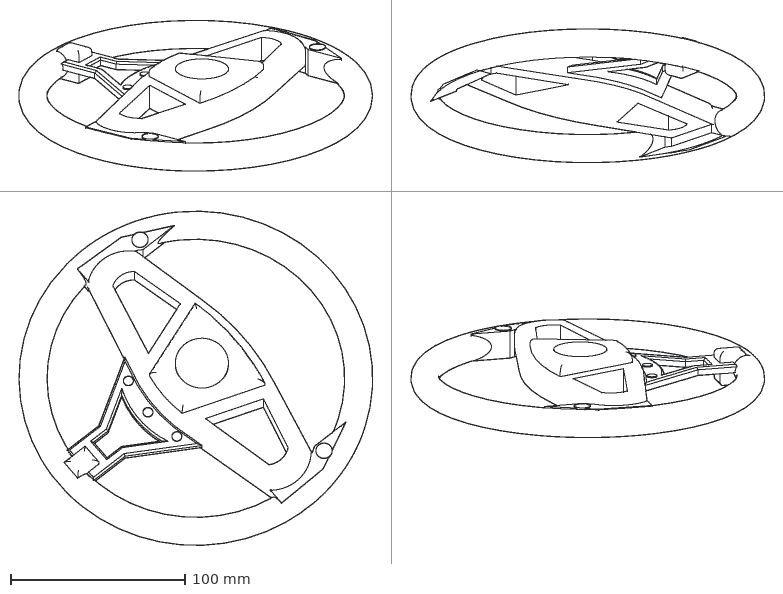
import cadquery as cq

rim_diameter = 203.0
tube_radius = 8.1
rim_centre_radius = rim_diameter / 2 - tube_radius

hub_top = 11.8
hub_thickness = 14.5
hub_bottom = hub_top - hub_thickness
hub_edge_radius = 5.9
hub_end_left = (-12.2, 83.2)
hub_end_middle = (3.5, 88.1)
hub_end_right = (21.1, 79.5)
hub_side_right = (31.5, 33.5)
hub_bow_right = 35.5
hub_side_left = (-28.6, 16.2)
hub_bow_left = -30.0

window_end_left = (-3.7, 70.6)
window_end_middle = (3.5, 72.5)
window_end_right = (11.4, 69.5)
window_inner_right = (19.3, 37.5)
window_inner_left = (-14.0, 25.8)

pad_top = 17.7
pad_edge_radius = 3.7
pad_left_corner = (-22.3, 14.8)
pad_right_corner = (25.4, 31.7)
pad_bow_left = -23.8
pad_bow_right = 29.2

recess_x = 4.5
recess_radius = 15.2
recess_wall = 2.2
recess_floor_radius = 2.8
recess_depth = recess_wall + recess_floor_radius

plate_top = 8.5
plate_thickness = 16.2
plate_outer_left = (-12.2, 92.4)
plate_outer_bend = (19.5, 91.4)
plate_tip = (47.7, 77.5)
plate_inner_right = (24.4, plate_tip[1])
plate_inner_left = (-12.2, 82.0)
plate_neck = (21.1, 79.5)
stud_x = 26.8
stud_y = 83.2
stud_radius = 4.7
stud_height = 0.5

spoke_thickness = 4.7
spoke_chamfer = 1.2
spoke_left = -86.0
spoke_half_width = 12.0
spoke_bend_x = -62.3
spoke_slope = 0.6
fork_left = -70.8
fork_half_width = 6.0
fork_bend_x = -60.0
fork_corner_x = -40.2
fork_bow_x = -43.2

rivet_radius = 2.8
rivet_height = 0.6
rivet_places = [(-32.0, 22.0), (-35.5, 0), (-32.0, -22.0)]

clamp_left = -93.0
clamp_right = -77.1
clamp_width = 12.5
clamp_y = -0.2
clamp_top = 10.5
clamp_bottom = -9.7
clamp_edge_radius = 3.2


def mirrored(point):
    return (point[0], -point[1])


def make_hub_blank():
    """Plain prism of the hub outline."""
    return (
        cq.Workplane("XY", origin=(0, 0, hub_bottom))
        .moveTo(*hub_side_left)
        .lineTo(*hub_end_left)
        .threePointArc(hub_end_middle, hub_end_right)
        .lineTo(*hub_side_right)
        .threePointArc((hub_bow_right, 0), mirrored(hub_side_right))
        .lineTo(*mirrored(hub_end_right))
        .threePointArc(mirrored(hub_end_middle), mirrored(hub_end_left))
        .lineTo(*mirrored(hub_side_left))
        .threePointArc((hub_bow_left, 0), hub_side_left)
        .close()
        .extrude(hub_thickness)
    )


def make_window():
    return (
        cq.Workplane("XY", origin=(0, 0, hub_bottom))
        .moveTo(*window_inner_left)
        .lineTo(*window_end_left)
        .threePointArc(window_end_middle, window_end_right)
        .lineTo(*window_inner_right)
        .close()
        .extrude(hub_thickness)
    )


def make_pad():
    """Raised pad, standing on the flat top of the hub."""
    return (
        cq.Workplane("XY", origin=(0, 0, hub_top))
        .moveTo(*pad_left_corner)
        .lineTo(*pad_right_corner)
        .threePointArc((pad_bow_right, 0), mirrored(pad_right_corner))
        .lineTo(*mirrored(pad_left_corner))
        .threePointArc((pad_bow_left, 0), pad_left_corner)
        .close()
        .extrude(pad_top - hub_top)
        .faces(">Z").edges().fillet(pad_edge_radius)
    )


def make_recess():
    return (
        cq.Workplane("XY", origin=(recess_x, 0, pad_top - recess_depth))
        .circle(recess_radius)
        .extrude(recess_depth)
        .faces("<Z").edges().fillet(recess_floor_radius)
    )


def make_end_plate():
    plate = (
        cq.Workplane("XY", origin=(0, 0, plate_top - plate_thickness))
        .polyline([plate_inner_left, plate_outer_left, plate_outer_bend,
                   plate_tip, plate_inner_right, plate_neck])
        .close()
        .extrude(plate_thickness)
    )
    stud = (
        cq.Workplane("XY", origin=(stud_x, stud_y, plate_top - plate_thickness))
        .circle(stud_radius)
        .extrude(plate_thickness + stud_height)
    )
    return plate.union(stud)


def make_hub():
    hub = make_hub_blank().faces(">Z").edges().fillet(hub_edge_radius)
    hub = hub.union(make_pad()).cut(make_recess())
    plate = make_end_plate()
    window = make_window()
    hub = hub.union(plate).union(plate.mirror("XZ"))
    return hub.cut(window).cut(window.mirror("XZ"))


def make_spoke():
    """Forked plate with a chamfered top, its inner end shaped to the side of the hub."""
    inner_end_y = spoke_half_width + spoke_slope * -spoke_bend_x
    fork_corner_y = fork_half_width + spoke_slope * (fork_corner_x - fork_bend_x)
    upper_edge = [(spoke_left, spoke_half_width), (spoke_bend_x, spoke_half_width), (0, inner_end_y)]
    lower_edge = [mirrored(point) for point in reversed(upper_edge)]
    outline = cq.Workplane("XY").polyline(upper_edge + lower_edge).close().extrude(spoke_thickness)
    fork_opening = (
        cq.Workplane("XY")
        .moveTo(fork_corner_x, -fork_corner_y)
        .lineTo(fork_bend_x, -fork_half_width)
        .lineTo(fork_left, -fork_half_width)
        .lineTo(fork_left, fork_half_width)
        .lineTo(fork_bend_x, fork_half_width)
        .lineTo(fork_corner_x, fork_corner_y)
        .threePointArc((fork_bow_x, 0), (fork_corner_x, -fork_corner_y))
        .close()
        .extrude(spoke_thickness)
    )
    plate = outline.cut(make_hub_blank()).solids("<X").cut(fork_opening)
    plate = plate.faces(">Z").edges().chamfer(spoke_chamfer)
    rivets = (
        cq.Workplane("XY")
        .pushPoints(rivet_places)
        .circle(rivet_radius)
        .extrude(spoke_thickness + rivet_height)
    )
    return plate.union(rivets).union(make_clamp())


def make_clamp():
    """Block through the rim with rounded top and bottom edges."""
    return (
        cq.Workplane("XY", origin=((clamp_left + clamp_right) / 2, clamp_y, clamp_bottom))
        .rect(clamp_right - clamp_left, clamp_width)
        .extrude(clamp_top - clamp_bottom)
        .faces("<Z or >Z").edges().fillet(clamp_edge_radius)
    )


def make_rim(spoke):
    """Round ring with pockets for the hub end plates and the clamp."""
    ring = cq.Workplane("XY").add(cq.Solid.makeTorus(rim_centre_radius, tube_radius))
    plate = make_end_plate()
    for body in [plate, plate.mirror("XZ"), spoke]:
        ring = ring.cut(body, clean=False)
    return ring


hub = make_hub()
spoke = make_spoke()
rim = make_rim(spoke)

result = cq.Compound.makeCompound([rim.solids().val(), hub.solids().val(), spoke.solids().val()])